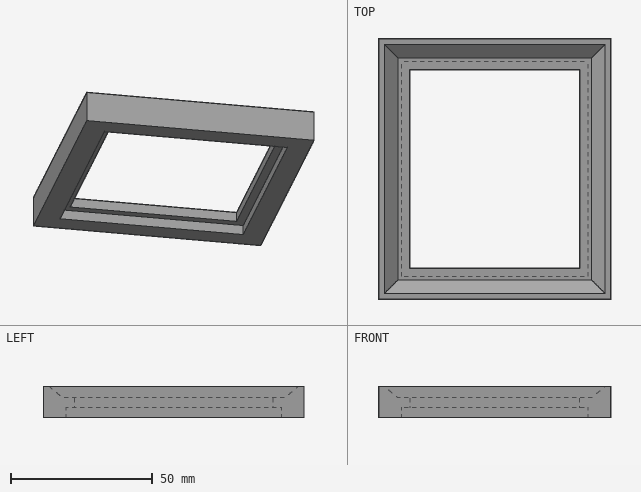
import math

import cadquery as cq

length_x = 82.0
length_y = 92.0
height = 11.0

rim_width = 2.0
border_width = 11.0

ledge_depth = 4.0
slope_from_vertical = 50.0
slope_width = ledge_depth * math.tan(math.radians(slope_from_vertical))
ledge_z = height - ledge_depth

lip_thickness = 3.5
lip_width = 3.0
rebate_depth = ledge_z - lip_thickness


def inset_rectangle(z, margin):
    """Rectangle at height z, inset from the outer walls by margin."""
    plane = cq.Workplane("XY", origin=(0, 0, z))
    return plane.rect(length_x - 2 * margin, length_y - 2 * margin)


def sloped_recess():
    """Tapered recess, wide at the rim and narrowing down to the ledge."""
    return (
        inset_rectangle(ledge_z, rim_width + slope_width)
        .workplane(offset=ledge_depth)
        .rect(length_x - 2 * rim_width, length_y - 2 * rim_width)
        .loft(ruled=True)
    )


def window():
    """Rectangular opening through the full height."""
    return inset_rectangle(0, border_width).extrude(height)


def rear_rebate():
    """Step around the window, open at the bottom face, leaving a thin lip above."""
    return inset_rectangle(0, border_width - lip_width).extrude(rebate_depth)


outer_block = inset_rectangle(0, 0).extrude(height)
result = outer_block.cut(sloped_recess()).cut(window()).cut(rear_rebate())